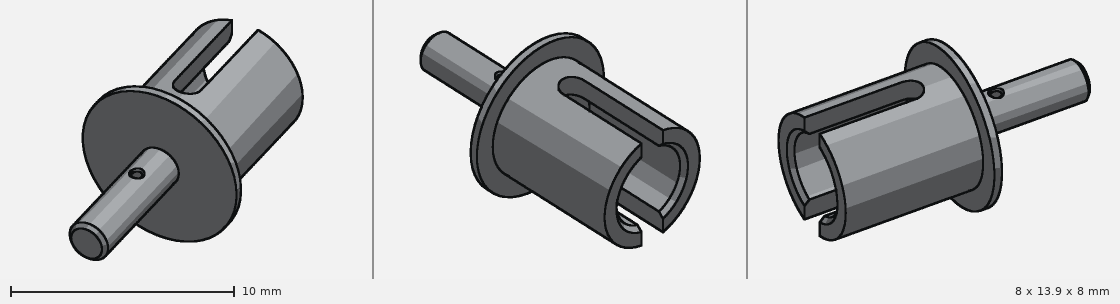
import cadquery as cq


flange_diameter = 8.0
flange_thickness = 0.4

cup_diameter = 6.0
cup_length = 7.1
bore_diameter = 4.0
bore_depth = 6.0
bore_chamfer = 0.25
bore_chamfer_angle = 45
cup_end = flange_thickness + cup_length

slot_width = 1.35
slot_straight_length = 5.0

pin_diameter = 2.0
pin_length = 6.4
pin_chamfer = 0.2

cross_hole_diameter = 0.5
cross_hole_chamfer = 0.1
cross_hole_offset = 2.0


def cylinder(diameter, start, length):
    """Cylinder on the Y axis, running from Y = start towards +Y."""
    base = cq.Workplane("XZ", origin=(0, start, 0))
    return base.circle(diameter / 2).extrude(-length)


def make_pin():
    """Pin with a chamfered tip and a cross hole along Z, chamfered at both mouths."""
    pin = cylinder(pin_diameter, -pin_length, pin_length)
    pin = pin.faces("<Y").chamfer(pin_chamfer)
    cross_hole = (
        cq.Workplane("XY", origin=(0, -cross_hole_offset, 0))
        .circle(cross_hole_diameter / 2)
        .extrude(pin_diameter, both=True)
    )
    pin = pin.cut(cross_hole)
    hole_centre = cq.Vector(0, -cross_hole_offset, 0)
    box_reach = cq.Vector(pin_diameter, cross_hole_diameter, pin_diameter)
    hole_box = cq.selectors.BoxSelector(hole_centre - box_reach, hole_centre + box_reach, boundingbox=True)
    return pin.edges(hole_box).edges("not |Z").chamfer(cross_hole_chamfer)


def make_slot_cutter():
    """Round-ended slot that passes through the whole cup along Z."""
    slot_radius = slot_width / 2
    arc_centre = cup_end - slot_straight_length
    return (
        cq.Workplane("XY")
        .moveTo(-slot_radius, cup_end)
        .lineTo(-slot_radius, arc_centre)
        .threePointArc((0, arc_centre - slot_radius), (slot_radius, arc_centre))
        .lineTo(slot_radius, cup_end)
        .close()
        .extrude(cup_diameter / 2, both=True)
    )


def make_bore_cutter():
    """Blind bore along Y, with a conical lead-in at the cup's free end."""
    bore = cylinder(bore_diameter, cup_end - bore_depth, bore_depth)
    mouth = cq.Workplane("XZ", origin=(0, cup_end, 0)).circle(bore_diameter / 2 + bore_chamfer)
    lead_in = mouth.extrude(bore_chamfer, taper=bore_chamfer_angle)
    return bore.union(lead_in)


flange = cylinder(flange_diameter, 0, flange_thickness)
cup = cylinder(cup_diameter, flange_thickness, cup_length)

result = (
    flange.union(cup)
    .union(make_pin())
    .cut(make_bore_cutter())
    .cut(make_slot_cutter())
)